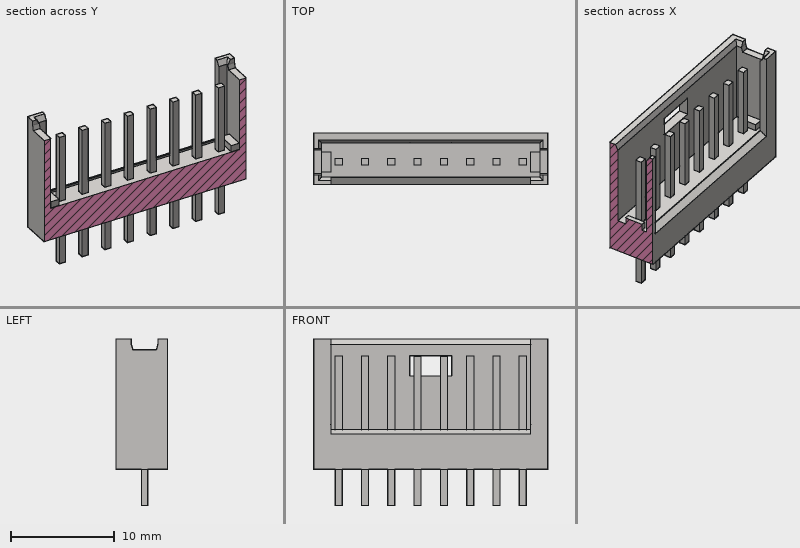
import cadquery as cq

LENGTH = 22.61
DEPTH = 5.0
HEIGHT = 12.6

END_WALL = 0.76
BACK_WALL = 0.97
FRONT_WALL = 0.75
FLOOR_HEIGHT = 3.63

LEAD_IN_WIDTH = 0.28
FRONT_LEAD_IN_WIDTH = 0.35
LEAD_IN_DEPTH = 0.55

CORNER_POST = 1.66
SILL_OUTER_HEIGHT = 3.42
SILL_INNER_HEIGHT = 3.83
SILL_DEPTH = 0.69

NOTCH_TOP_WIDTH = 2.55
NOTCH_FLOOR_WIDTH = 2.26
NOTCH_DEPTH = 1.03
NOTCH_STRAIGHT_DEPTH = 0.5
NOTCH_Y = -0.28

WINDOW_WIDTH = 4.05
WINDOW_HEIGHT = 1.92
WINDOW_BOTTOM = 9.04

LEDGE_LENGTH = 0.91
LEDGE_WIDTH = 1.93
LEDGE_HEIGHT = 0.7
LEDGE_Y = -0.32

PIN_COUNT = 8
PIN_PITCH = 2.54
PIN_WIDTH = 0.7
PIN_THICKNESS = 0.64
PIN_Y = -0.28
PIN_TAIL = 3.5
PIN_TOP = 10.93

CAVITY_LENGTH = LENGTH - 2 * END_WALL
CAVITY_FRONT = -DEPTH / 2 + FRONT_WALL
CAVITY_BACK = DEPTH / 2 - BACK_WALL
OPENING_LENGTH = LENGTH - 2 * CORNER_POST


def box(x_range, y_range, z_range):
    """Axis-aligned box between pairs of limits."""
    (x0, x1), (y0, y1), (z0, z1) = x_range, y_range, z_range
    return cq.Workplane("XY").box(x1 - x0, y1 - y0, z1 - z0, centered=False).translate((x0, y0, z0))


def rectangle_corners(length, front, back):
    """Corner points of a rectangle symmetric in X, between two Y limits."""
    half = length / 2
    return [(-half, front), (half, front), (half, back), (-half, back)]


def cavity():
    """Rectangular well with a flared mouth."""
    well = box(
        (-CAVITY_LENGTH / 2, CAVITY_LENGTH / 2),
        (CAVITY_FRONT, CAVITY_BACK),
        (FLOOR_HEIGHT, HEIGHT),
    )
    throat = rectangle_corners(CAVITY_LENGTH, CAVITY_FRONT, CAVITY_BACK)
    mouth = rectangle_corners(
        CAVITY_LENGTH + 2 * LEAD_IN_WIDTH,
        CAVITY_FRONT - FRONT_LEAD_IN_WIDTH,
        CAVITY_BACK + LEAD_IN_WIDTH,
    )
    flare = (
        cq.Workplane("XY", origin=(0, 0, HEIGHT - LEAD_IN_DEPTH))
        .polyline(throat)
        .close()
        .workplane(offset=LEAD_IN_DEPTH)
        .polyline(mouth)
        .close()
        .loft(ruled=True)
    )
    return well.union(flare)


def front_opening():
    """Cut through the front wall between the corner posts, down to the sloped sill."""
    front = -DEPTH / 2
    profile = [
        (front, SILL_OUTER_HEIGHT),
        (front + SILL_DEPTH, SILL_INNER_HEIGHT),
        (CAVITY_FRONT, SILL_INNER_HEIGHT),
        (CAVITY_FRONT, HEIGHT),
        (front, HEIGHT),
    ]
    return cq.Workplane("YZ").polyline(profile).close().extrude(OPENING_LENGTH / 2, both=True)


def end_notches():
    """Notch profile run along X; it only meets the two end walls."""
    half_top = NOTCH_TOP_WIDTH / 2
    half_floor = NOTCH_FLOOR_WIDTH / 2
    shoulder = HEIGHT - NOTCH_STRAIGHT_DEPTH
    floor = HEIGHT - NOTCH_DEPTH
    profile = [
        (NOTCH_Y - half_top, HEIGHT),
        (NOTCH_Y - half_top, shoulder),
        (NOTCH_Y - half_floor, floor),
        (NOTCH_Y + half_floor, floor),
        (NOTCH_Y + half_top, shoulder),
        (NOTCH_Y + half_top, HEIGHT),
    ]
    return cq.Workplane("YZ").polyline(profile).close().extrude(LENGTH / 2, both=True)


def latch_window():
    """Rectangular window through the back wall."""
    return box(
        (-WINDOW_WIDTH / 2, WINDOW_WIDTH / 2),
        (CAVITY_BACK, DEPTH / 2),
        (WINDOW_BOTTOM, WINDOW_BOTTOM + WINDOW_HEIGHT),
    )


def ledge(side):
    """Small block against one end wall; side is -1 or +1."""
    center_x = side * (CAVITY_LENGTH - LEDGE_LENGTH) / 2
    return box(
        (center_x - LEDGE_LENGTH / 2, center_x + LEDGE_LENGTH / 2),
        (LEDGE_Y - LEDGE_WIDTH / 2, LEDGE_Y + LEDGE_WIDTH / 2),
        (FLOOR_HEIGHT, FLOOR_HEIGHT + LEDGE_HEIGHT),
    )


def pin(index):
    """Straight square-ended contact running right through the housing floor."""
    center_x = (index - (PIN_COUNT - 1) / 2) * PIN_PITCH
    return box(
        (center_x - PIN_WIDTH / 2, center_x + PIN_WIDTH / 2),
        (PIN_Y - PIN_THICKNESS / 2, PIN_Y + PIN_THICKNESS / 2),
        (-PIN_TAIL, PIN_TOP),
    )


result = box((-LENGTH / 2, LENGTH / 2), (-DEPTH / 2, DEPTH / 2), (0, HEIGHT))
for cutter in (cavity(), front_opening(), end_notches(), latch_window()):
    result = result.cut(cutter)
for side in (-1, 1):
    result = result.union(ledge(side))
for index in range(PIN_COUNT):
    result = result.union(pin(index))